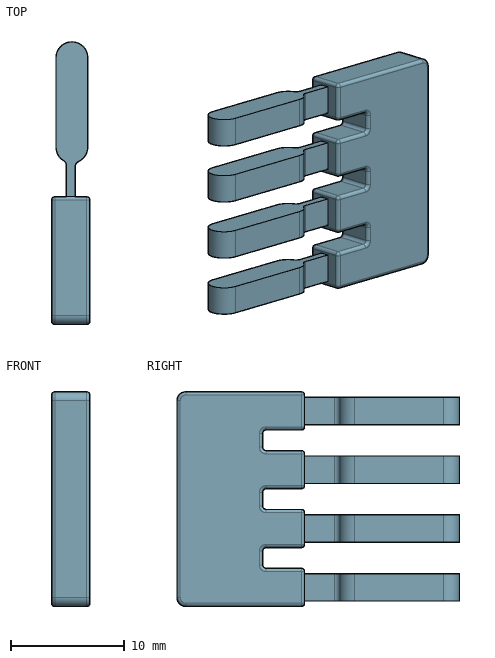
import cadquery as cq

tooth_count = 4
tooth_pitch = 5.2
tooth_height = 3.4
slot_depth = 3.7
body_thickness = 3.4
body_depth = 11.3
body_height = (tooth_count - 1) * tooth_pitch + tooth_height
edge_radius = 0.3
back_corner_radius = 0.8

total_depth = 25
pin_height = 2.45
neck_width = 0.8
blade_width = 2.82
blade_straight = 7.9
blade_offset = 0.1
neck_fillet = 0.5
pin_embed = 2.5
junction_reach = 0.5

blade_length = blade_straight + blade_width
slot_height = tooth_pitch - tooth_height
tooth_centers = [(i - (tooth_count - 1) / 2) * tooth_pitch for i in range(tooth_count)]
slot_centers = [z + tooth_pitch / 2 for z in tooth_centers[:-1]]


def make_body():
    """Housing with slots between the teeth and every outer edge rounded."""
    body = cq.Workplane("XY").box(body_thickness, body_depth, body_height, centered=(True, False, True))
    body = body.edges("|X and <Y").fillet(back_corner_radius)
    slot_floor = body_depth - slot_depth
    for z in slot_centers:
        slot = (
            cq.Workplane("XY")
            .box(body_thickness, slot_depth, slot_height, centered=(True, False, True))
            .edges("|X and <Y")
            .fillet(edge_radius)
            .translate((0, slot_floor, z))
        )
        body = body.cut(slot)
    return body.edges("(|X and >Y) or <X or >X").fillet(edge_radius)


def make_pin(z):
    """Pin in one piece; its neck starts inside the housing and meets the blade in fillets."""
    blade = (
        cq.Workplane("XY")
        .center(blade_offset, total_depth - blade_length / 2)
        .slot2D(blade_length, blade_width, 90)
        .extrude(pin_height)
    )
    neck_start = body_depth - pin_embed
    neck_length = total_depth - blade_width / 2 - blade_straight - neck_start
    neck = (
        cq.Workplane("XY")
        .box(neck_width, neck_length, pin_height, centered=(True, False, False))
        .translate((0, neck_start, 0))
    )
    blade_base = total_depth - blade_length
    junction = cq.selectors.BoxSelector(
        (-neck_width, blade_base - junction_reach, 0),
        (neck_width, blade_base + junction_reach, pin_height),
    )
    pin = blade.union(neck).edges("|Z").edges(junction).fillet(neck_fillet)
    return pin.translate((0, 0, z - pin_height / 2))


result = make_body()
for tooth_z in tooth_centers:
    result = result.union(make_pin(tooth_z))